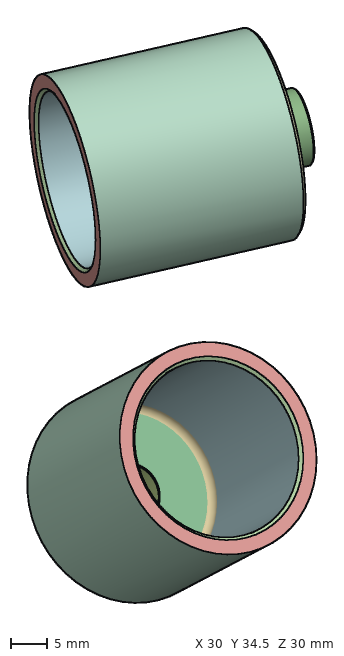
import cadquery as cq

total_length = 34.5
body_length = 30.0
body_diameter = 30.0
neck_diameter = 11.0

wall = 2.52
floor_thickness = wall
bore_floor_fillet = 1.0
bore_mouth_chamfer = 0.5

hole_diameter = 8.25
hole_edge_chamfer = 0.15

body_chamfer = 0.5
neck_chamfer = 0.25

body_radius = body_diameter / 2
bore_radius = body_radius - wall
neck_radius = neck_diameter / 2
hole_radius = hole_diameter / 2

mouth_y = -total_length / 2
shoulder_y = mouth_y + body_length
neck_end_y = total_length / 2
floor_y = shoulder_y - floor_thickness

half_section = (
    cq.Workplane("XY")
    .moveTo(bore_radius + bore_mouth_chamfer, mouth_y)
    .lineTo(body_radius, mouth_y)
    .lineTo(body_radius, shoulder_y - body_chamfer)
    .lineTo(body_radius - body_chamfer, shoulder_y)
    .lineTo(neck_radius, shoulder_y)
    .lineTo(neck_radius, neck_end_y - neck_chamfer)
    .lineTo(neck_radius - neck_chamfer, neck_end_y)
    .lineTo(hole_radius, neck_end_y)
    .lineTo(hole_radius, floor_y + hole_edge_chamfer)
    .lineTo(hole_radius + hole_edge_chamfer, floor_y)
    .lineTo(bore_radius - bore_floor_fillet, floor_y)
    .radiusArc((bore_radius, floor_y - bore_floor_fillet), bore_floor_fillet)
    .lineTo(bore_radius, mouth_y + bore_mouth_chamfer)
    .close()
)

result = half_section.revolve(360, (0, 0, 0), (0, 1, 0))